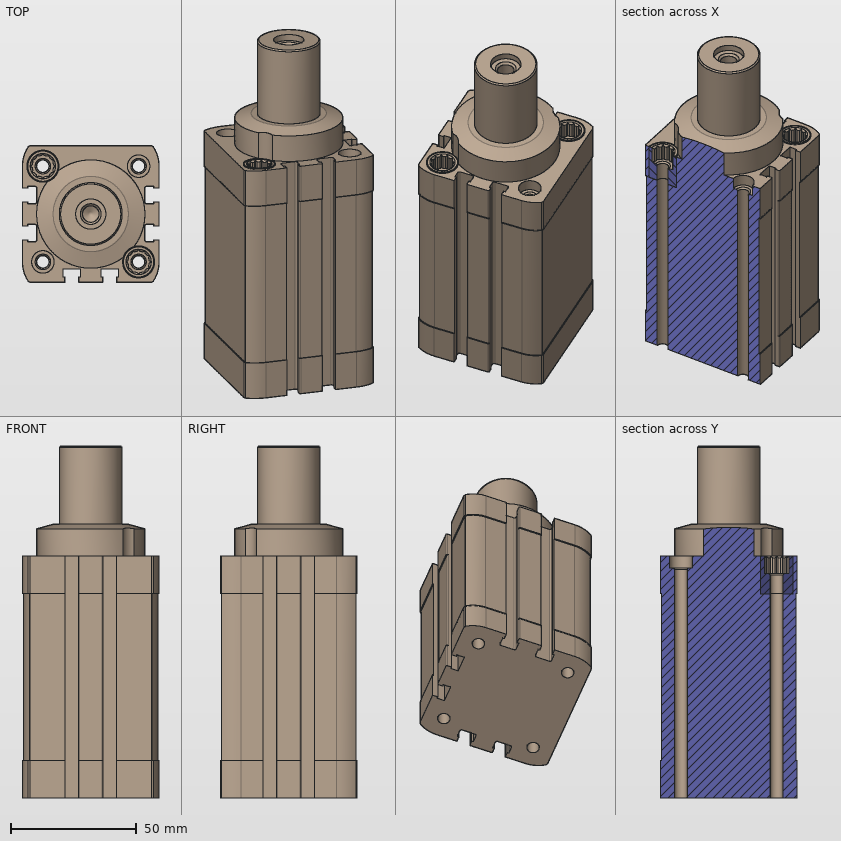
import cadquery as cq
import math

HOUSING_WIDTH = 54.5
HOUSING_HEIGHT = 96.3
BAND_HEIGHT = 15.0
MIDDLE_INSET = 0.4
CORNER_ARC_RADIUS = 14.0
CORNER_ARC_START_Y = 19.0
CORNER_FLAT_X = 24.1
BAND_CORNER_BREAK = 0.4
MIDDLE_CORNER_BREAK = 0.1

SLOT_OFFSET = 7.5
SLOT_MOUTH_WIDTH = 5.5
SLOT_LIP_DEPTH = 2.2
SLOT_LIP_FILLET = 0.4
SLOT_WIDTH = 6.9
SIDE_SLOT_DEPTH = 5.7
SIDE_SLOT_CORNER = 0.7
FRONT_SLOT_DEPTH = 5.3

COLLAR_DIAMETER = 43.1
COLLAR_EDGE_Z = 107.1
COLLAR_TOP_Z = 108.9
COLLAR_TOP_DIAMETER = 30.0
ROD_DIAMETER = 25.0
ROD_TOP_Z = 140.0
ROD_CHAMFER = 0.5

ROD_RECESS_DIAMETER = 12.0
ROD_RECESS_DEPTH = 2.5
ROD_BORE_DIAMETER = 6.6
ROD_BORE_MOUTH_DIAMETER = 8.3
ROD_BORE_DEPTH = 16.8
DRILL_POINT_ANGLE = 118.0

HOLE_OFFSET = 19.0
HOLE_DIAMETER = 4.9
HOLE_MOUTH_DIAMETER = 6.2
COUNTERBORE_DIAMETER = 9.0
COUNTERBORE_DEPTH = 4.8

SCREW_DIAMETER = 12.7
SCREW_TOP_DIAMETER = 12.0
SCREW_LENGTH = BAND_HEIGHT
SOCKET_MOUTH_DIAMETER = 10.1
SOCKET_POINT_DIAMETER = 9.7
SOCKET_INNER_DIAMETER = 8.5
SOCKET_DEPTH = 7.0
SOCKET_SQUARES = 3
SOCKET_FIRST_ANGLE = 15.0

PLAIN_CORNERS = [(-HOLE_OFFSET, -HOLE_OFFSET), (HOLE_OFFSET, HOLE_OFFSET)]
SCREW_CORNERS = [(-HOLE_OFFSET, HOLE_OFFSET), (HOLE_OFFSET, -HOLE_OFFSET)]


def cylinder(diameter, bottom_z, top_z):
    """Upright round bar on the Z axis."""
    return cq.Workplane("XY").workplane(offset=bottom_z).circle(diameter / 2).extrude(top_z - bottom_z)


def countersunk_bore(mouth_diameter, diameter, mouth_z, bottom_z):
    """Cutter for a round hole on the Z axis with a 45 degree mouth."""
    mouth_radius = mouth_diameter / 2
    radius = diameter / 2
    return (
        cq.Workplane("XZ")
        .moveTo(0, mouth_z)
        .lineTo(mouth_radius, mouth_z)
        .lineTo(radius, mouth_z - (mouth_radius - radius))
        .lineTo(radius, bottom_z)
        .lineTo(0, bottom_z)
        .close()
        .revolve(360, (0, 0, 0), (0, 1, 0))
    )


def block(inset, corner_break, bottom_z, height):
    """Square block whose corners are arcs tangent to the X sides, ending in a small flat at the Y sides."""
    half = HOUSING_WIDTH / 2 - inset
    radius = CORNER_ARC_RADIUS - inset
    center_x = half - radius
    end_y = half - corner_break
    sweep = math.asin((end_y - CORNER_ARC_START_Y) / radius)
    end_x = center_x + radius * math.cos(sweep)
    mid_x = center_x + radius * math.cos(sweep / 2)
    mid_y = CORNER_ARC_START_Y + radius * math.sin(sweep / 2)
    return (
        cq.Workplane("XY")
        .workplane(offset=bottom_z)
        .moveTo(half, -CORNER_ARC_START_Y)
        .lineTo(half, CORNER_ARC_START_Y)
        .threePointArc((mid_x, mid_y), (end_x, end_y))
        .lineTo(CORNER_FLAT_X, half)
        .lineTo(-CORNER_FLAT_X, half)
        .lineTo(-end_x, end_y)
        .threePointArc((-mid_x, mid_y), (-half, CORNER_ARC_START_Y))
        .lineTo(-half, -CORNER_ARC_START_Y)
        .threePointArc((-mid_x, -mid_y), (-end_x, -end_y))
        .lineTo(-CORNER_FLAT_X, -half)
        .lineTo(CORNER_FLAT_X, -half)
        .lineTo(end_x, -end_y)
        .threePointArc((mid_x, -mid_y), (half, -CORNER_ARC_START_Y))
        .close()
        .extrude(height)
    )


def slot_pair(inset, depth, corner_radius=0):
    """Cutter for two undercut slots opening toward +X, mirrored about the XZ plane."""
    face = HOUSING_WIDTH / 2 - inset
    lip_depth = SLOT_LIP_DEPTH - inset
    chamber_x = HOUSING_WIDTH / 2 - depth
    inner_y = SLOT_OFFSET - SLOT_MOUTH_WIDTH / 2
    mouth = (
        cq.Workplane("XY")
        .box(lip_depth, SLOT_MOUTH_WIDTH, HOUSING_HEIGHT, centered=(False, True, False))
        .translate((face - lip_depth, SLOT_OFFSET, 0))
    )
    chamber = (
        cq.Workplane("XY")
        .box(depth - SLOT_LIP_DEPTH, SLOT_WIDTH, HOUSING_HEIGHT, centered=(False, True, False))
        .translate((chamber_x, SLOT_OFFSET, 0))
    )
    if corner_radius:
        chamber = chamber.edges("|Z and <X").fillet(corner_radius)
    rounding = (
        cq.Workplane("XY")
        .moveTo(face, inner_y)
        .lineTo(face, inner_y - SLOT_LIP_FILLET)
        .radiusArc((face - SLOT_LIP_FILLET, inner_y), -SLOT_LIP_FILLET)
        .close()
        .extrude(HOUSING_HEIGHT)
    )
    one_slot = mouth.union(rounding).union(chamber)
    return one_slot.union(one_slot.mirror("XZ"))


def slotted_section(inset, corner_break, bottom_z, height):
    """Length of the housing with two slots in each X side and in the -Y side."""
    section = block(inset, corner_break, bottom_z, height)
    side_slots = slot_pair(inset, SIDE_SLOT_DEPTH, SIDE_SLOT_CORNER)
    front_slots = slot_pair(inset, FRONT_SLOT_DEPTH)
    for angle, slots in ((0, side_slots), (180, side_slots), (-90, front_slots)):
        section = section.cut(slots.rotate((0, 0, 0), (0, 0, 1), angle))
    return section


def make_profile():
    """Slotted housing block with a wider band at each end."""
    upper_band_z = HOUSING_HEIGHT - BAND_HEIGHT
    body = slotted_section(MIDDLE_INSET, MIDDLE_CORNER_BREAK, BAND_HEIGHT, upper_band_z - BAND_HEIGHT)
    for band_z in (0, upper_band_z):
        body = body.union(slotted_section(0, BAND_CORNER_BREAK, band_z, BAND_HEIGHT))
    return body


def make_collar_and_rod():
    """Collar with a conical top, and the rod standing on it."""
    collar = (
        cq.Workplane("XZ")
        .moveTo(0, HOUSING_HEIGHT)
        .lineTo(COLLAR_DIAMETER / 2, HOUSING_HEIGHT)
        .lineTo(COLLAR_DIAMETER / 2, COLLAR_EDGE_Z)
        .lineTo(COLLAR_TOP_DIAMETER / 2, COLLAR_TOP_Z)
        .lineTo(0, COLLAR_TOP_Z)
        .close()
        .revolve(360, (0, 0, 0), (0, 1, 0))
    )
    rod = cylinder(ROD_DIAMETER, COLLAR_TOP_Z, ROD_TOP_Z).faces(">Z").chamfer(ROD_CHAMFER)
    return collar.union(rod)


def rod_end_hole():
    """Cutter for the recess and the hole with a drill point in the rod end."""
    recess_z = ROD_TOP_Z - ROD_RECESS_DEPTH
    bore_end_z = recess_z - ROD_BORE_DEPTH
    recess = cylinder(ROD_RECESS_DIAMETER, recess_z, ROD_TOP_Z)
    bore = countersunk_bore(ROD_BORE_MOUTH_DIAMETER, ROD_BORE_DIAMETER, recess_z, bore_end_z)
    point_depth = ROD_BORE_DIAMETER / 2 / math.tan(math.radians(DRILL_POINT_ANGLE / 2))
    drill_point = cq.Solid.makeCone(
        ROD_BORE_DIAMETER / 2, 0, point_depth, pnt=cq.Vector(0, 0, bore_end_z), dir=cq.Vector(0, 0, -1)
    )
    return recess.union(bore).union(cq.Workplane(drill_point))


def plain_hole():
    """Cutter for a counterbored through hole on the Z axis."""
    seat_z = HOUSING_HEIGHT - COUNTERBORE_DEPTH
    bore = countersunk_bore(HOLE_MOUTH_DIAMETER, HOLE_DIAMETER, seat_z, 0)
    return bore.union(cylinder(COUNTERBORE_DIAMETER, seat_z, HOUSING_HEIGHT))


def screw_seat():
    """Cutter for a screw seat on the Z axis, tall enough to clear the side of the collar."""
    seat = cylinder(SCREW_DIAMETER, HOUSING_HEIGHT - SCREW_LENGTH, COLLAR_TOP_Z)
    return seat.union(cylinder(HOLE_DIAMETER, 0, HOUSING_HEIGHT))


def make_housing():
    """Housing with its collar and rod, bored for the corner holes and the screws."""
    body = make_profile().union(make_collar_and_rod()).cut(rod_end_hole())
    for cutter, corners in ((plain_hole(), PLAIN_CORNERS), (screw_seat(), SCREW_CORNERS)):
        for x, y in corners:
            body = body.cut(cutter.translate((x, y, 0)))
    return body


def make_screw():
    """Hollow screw on the Z axis, with its top flush with the housing."""
    top_z = HOUSING_HEIGHT
    bottom_z = top_z - SCREW_LENGTH
    floor_z = top_z - SOCKET_DEPTH
    screw = cylinder(SCREW_DIAMETER, bottom_z, top_z)
    screw = screw.faces(">Z").chamfer((SCREW_DIAMETER - SCREW_TOP_DIAMETER) / 2)

    socket = countersunk_bore(SOCKET_MOUTH_DIAMETER, SOCKET_INNER_DIAMETER, top_z, floor_z)
    square_side = SOCKET_POINT_DIAMETER / math.sqrt(2)
    square = cq.Workplane("XY").workplane(offset=floor_z).rect(square_side, square_side).extrude(SOCKET_DEPTH)
    for step in range(SOCKET_SQUARES):
        angle = SOCKET_FIRST_ANGLE + step * 90 / SOCKET_SQUARES
        socket = socket.union(square.rotate((0, 0, 0), (0, 0, 1), angle))
    screw = screw.cut(socket)
    return screw.cut(countersunk_bore(HOLE_MOUTH_DIAMETER, HOLE_DIAMETER, floor_z, bottom_z))


housing = make_housing()
screws = [make_screw().translate((x, y, 0)) for x, y in SCREW_CORNERS]

result = cq.Compound.makeCompound([housing.val(), *[screw.val() for screw in screws]])